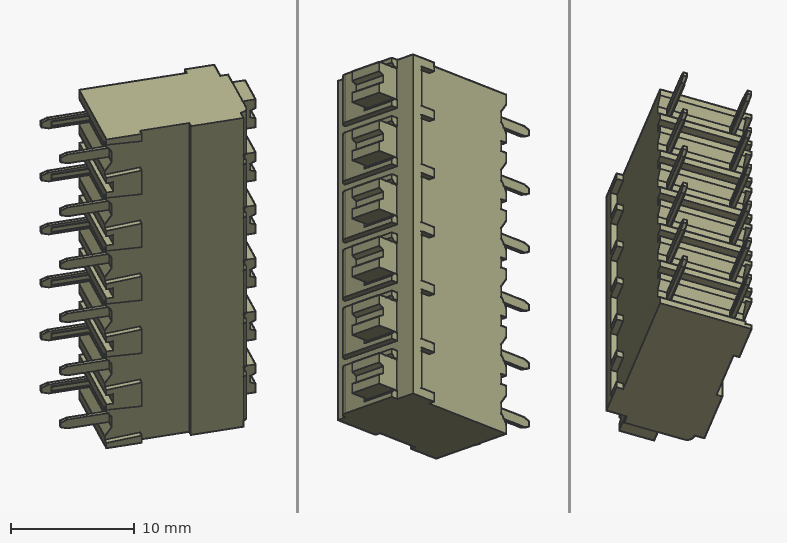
import cadquery as cq


pole_count = 6
length = 29.6
pole_height = 4.2
pitch = (length - pole_height) / (pole_count - 1)
pole_gap = pitch - pole_height
pole_centers = [pole_height / 2 + i * pitch for i in range(pole_count)]
gap_centers = [z + pitch / 2 for z in pole_centers[:-1]]

width = 8.4
housing_depth = 11.57
flange_thickness = 0.55
flange_band = 1.0
flange_tab_reach = 2.5
tab_height = 0.77

front_groove_depth = 0.6
vee_mouth = 2.52
vee_floor = 0.95
side_notch_depth = 0.5
side_notch_start = 3.0
side_notch_end = 7.13
side_slot_mouth = 3.17
side_slot_draft = 0.18

rib_start = 1.75
rib_end = 7.58
rib_height = 0.65
button_start = 1.8
button_end = 4.82
button_height = 2.7
button_reach = 2.07
button_notch_depth = 0.47
button_notch_mouth = 1.05
button_notch_floor = 0.6
button_clearance = 0.05
channel_chamfer = 0.27

pin_thickness = 0.33
pin_inset = 1.33
pin_spacing = 5.5
pin_height = 0.85
pin_tip_height = 0.45
pin_reach = 3.5
pin_taper = 0.6
pin_ridge_thickness = 0.1
pin_ridge_height = 0.45
pin_ridge_reach = 2.65


def box(x0, x1, y0, y1, z0, z1):
    return cq.Workplane("XY").box(x1 - x0, y1 - y0, z1 - z0, centered=False).translate((x0, y0, z0))


def prism_along_x(points, x0, x1):
    """Extrude a (y, z) outline from x0 to x1."""
    return cq.Workplane("YZ", origin=(x0, 0, 0)).polyline(points).close().extrude(x1 - x0)


def tapered_outline(y0, y1, height0, height1, z):
    """Trapezoid, symmetric about z, of height0 at y0 and height1 at y1."""
    return [
        (y0, z - height0 / 2),
        (y0, z + height0 / 2),
        (y1, z + height1 / 2),
        (y1, z - height1 / 2),
    ]


def housing():
    """Body with the flange, the back rib and the notch along the +X side."""
    body = box(flange_thickness, width, 0, housing_depth, 0, length)
    flange_start = housing_depth - flange_tab_reach
    flange = box(0, flange_thickness, flange_start, housing_depth, 0, length)
    rib_top = housing_depth + rib_height
    arc_start = rib_end - rib_height
    rib = (
        cq.Workplane("XY")
        .moveTo(rib_start, housing_depth)
        .lineTo(rib_start, rib_top)
        .lineTo(arc_start, rib_top)
        .radiusArc((rib_end, housing_depth), rib_height)
        .close()
        .extrude(length)
    )
    notch = box(width - side_notch_depth, width, side_notch_start, side_notch_end, 0, length)
    return body.union(flange).union(rib).cut(notch)


def flange_windows():
    """Flange openings, one per pole, that leave the tabs standing."""
    window_start = housing_depth - flange_tab_reach
    window_end = housing_depth - flange_band
    tab_tops = [tab_height] + [i * pitch for i in range(1, pole_count)]
    next_tab_bottoms = [i * pitch - tab_height for i in range(1, pole_count)] + [length - tab_height]
    windows = cq.Workplane("XY")
    for bottom, top in zip(tab_tops, next_tab_bottoms):
        windows = windows.add(box(0, flange_thickness, window_start, window_end, bottom, top))
    return windows.combine()


def gap_grooves(z):
    """Front groove and back groove that part two neighbouring poles."""
    bottom = z - pole_gap / 2
    top = z + pole_gap / 2
    front = box(0, width, 0, front_groove_depth, bottom, top)
    back = box(0, width, housing_depth, housing_depth + rib_height, bottom, top)
    return front.union(back)


def vee_groove(z):
    """Flat-bottomed V groove around the pins of one pole."""
    return prism_along_x(tapered_outline(0, front_groove_depth, vee_mouth, vee_floor, z), 0, width)


def side_slot(z):
    """Drafted slot on the +X side, from the front face into the side notch."""
    slot_end = side_slot_mouth - 2 * side_slot_draft
    outline = tapered_outline(0, side_notch_start, side_slot_mouth, slot_end, z)
    return prism_along_x(outline, width - side_notch_depth, width)


def button_channel(z):
    """Chamfered channel in the back rib that clears the push button."""
    rib_top = housing_depth + rib_height
    channel_height = button_height + 2 * button_clearance
    mouth_height = channel_height + 2 * channel_chamfer
    channel = box(
        rib_start, button_end, housing_depth, rib_top, z - channel_height / 2, z + channel_height / 2
    )
    mouth = tapered_outline(rib_top, rib_top - channel_chamfer, mouth_height, channel_height, z)
    return channel.union(prism_along_x(mouth, rib_start, button_end))


def button(z):
    """Push button with a screwdriver notch across its end."""
    end = housing_depth + button_reach
    block = box(
        button_start, button_end, housing_depth, end, z - button_height / 2, z + button_height / 2
    )
    notch = tapered_outline(end, end - button_notch_depth, button_notch_mouth, button_notch_floor, z)
    return block.cut(prism_along_x(notch, button_start, button_end))


def pin(x0, ridge_x0, z):
    """Flat pin with a tapered tip and a thin ridge on one of its faces."""
    taper_start = pin_taper - pin_reach
    shank = box(
        x0, x0 + pin_thickness, taper_start, front_groove_depth, z - pin_height / 2, z + pin_height / 2
    )
    tip_outline = tapered_outline(-pin_reach, taper_start, pin_tip_height, pin_height, z)
    tip = prism_along_x(tip_outline, x0, x0 + pin_thickness)
    ridge = box(
        ridge_x0,
        ridge_x0 + pin_ridge_thickness,
        -pin_ridge_reach,
        front_groove_depth,
        z - pin_ridge_height / 2,
        z + pin_ridge_height / 2,
    )
    return shank.union(tip).union(ridge)


result = housing().cut(flange_windows())

for z in gap_centers:
    result = result.cut(gap_grooves(z))

left_pin = pin_inset
left_ridge = left_pin + pin_thickness
right_pin = pin_inset + pin_spacing
right_ridge = right_pin - pin_ridge_thickness

for z in pole_centers:
    result = result.cut(vee_groove(z)).cut(side_slot(z)).cut(button_channel(z))
    result = result.union(button(z))
    result = result.union(pin(left_pin, left_ridge, z)).union(pin(right_pin, right_ridge, z))